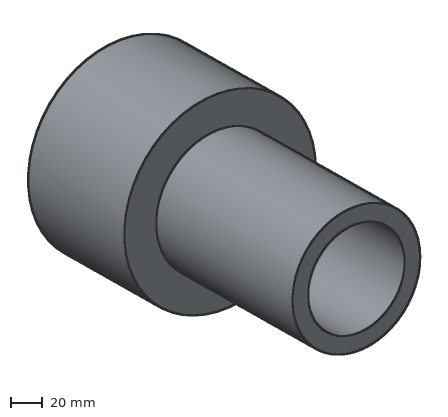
import cadquery as cq

total_length = 238.1
head_length = 98.5
head_diameter = 152.5
shank_diameter = 101.7
bore_diameter = 76.7


def cylinder_along_x(diameter, length):
    """Cylinder on the X axis, starting at the head's outer face."""
    return cq.Workplane("YZ").circle(diameter / 2).extrude(length)


head = cylinder_along_x(head_diameter, head_length)
shank = cylinder_along_x(shank_diameter, total_length)
bore = cylinder_along_x(bore_diameter, total_length)

result = head.union(shank).cut(bore)